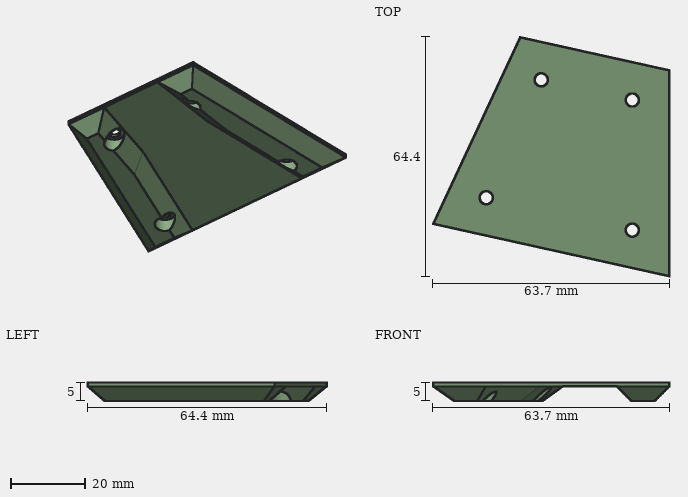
import cadquery as cq
import math

long_base = 65.2
overall_length = 64.4
leg_lean = 12.5
plate_thickness = 1.0

total_height = 5.0
rib_height = total_height - plate_thickness
rib_width = 14.2
narrowing_rate = 0.13
top_bend_distance = 20.6
bottom_bend_distance = 23.2

hole_diameter = 3.5
counterbore_diameter = 5.5
hole_edge_distance = 10.0

lean = math.radians(leg_lean)
leg_length = (overall_length - long_base * math.sin(lean)) / math.cos(2 * lean)
plate_depth = leg_length * math.cos(lean)


def leg_point(side, y, inset=0.0):
    """Point at height y on a line parallel to a leg, inset square to that leg."""
    x = long_base / 2 - y * math.tan(lean) - inset / math.cos(lean)
    return (side * x, y)


def make_plate():
    corners = [
        leg_point(-1, 0),
        leg_point(1, 0),
        leg_point(1, plate_depth),
        leg_point(-1, plate_depth),
    ]
    return cq.Workplane("XY").polyline(corners).close().extrude(-plate_thickness)


def rib_outline(side, margin, bend_distance):
    """Corners of a rib section, drawn in by margin from the plate edges and the rib's inner edge."""
    bend_y = plate_depth - bend_distance
    end_y = plate_depth - margin
    inner_inset = rib_width - margin
    end_inset = inner_inset - (end_y - bend_y) * narrowing_rate
    return [
        leg_point(side, margin, margin),
        leg_point(side, end_y, margin),
        leg_point(side, end_y, end_inset),
        leg_point(side, bend_y, inner_inset),
        leg_point(side, margin, inner_inset),
    ]


def make_rib(side):
    return (
        cq.Workplane("XY", origin=(0, 0, -plate_thickness))
        .polyline(rib_outline(side, 0, top_bend_distance))
        .close()
        .workplane(offset=-rib_height)
        .polyline(rib_outline(side, rib_height, bottom_bend_distance))
        .close()
        .loft(ruled=True, combine=True)
    )


def make_hole_cutter():
    centers = [
        leg_point(side, y, hole_edge_distance)
        for side in (-1, 1)
        for y in (hole_edge_distance, plate_depth - hole_edge_distance)
    ]
    through_holes = cq.Workplane("XY").pushPoints(centers).circle(hole_diameter / 2).extrude(-total_height)
    counterbores = (
        cq.Workplane("XY", origin=(0, 0, -total_height))
        .pushPoints(centers)
        .circle(counterbore_diameter / 2)
        .extrude(rib_height)
    )
    return through_holes.union(counterbores)


body = make_plate()
for side in (-1, 1):
    body = body.union(make_rib(side))
body = body.cut(make_hole_cutter())

result = body.rotate((0, 0, 0), (0, 0, 1), -leg_lean)